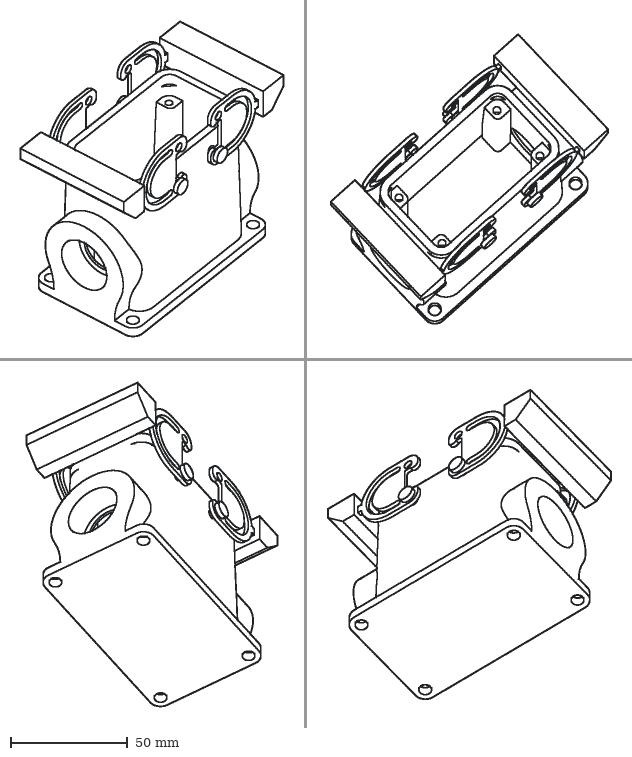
import cadquery as cq
import math

wall = 3.5
rim_length = 73.5
foot_length = 72.8
foot_width = 47.9
rim_width = 42.8
corner_radius = 7.8
rim_bottom = 68.5
rim_top = 73.9

base_width = 55.7
base_length = 92.4
base_height = 4.8
base_corner_radius = 5.2
lug_hole_radius = 2.7
lug_hole_x = 22.6
lug_hole_y = 41.0

entry_height = 27.0
boss_radius = 21.5
neck_half_width = 16.7
entry_radius = 12.4
entry_hole_radius = 9.6
entry_depth = 12.0

post_top = 61.9
post_inner_x = 9.9
post_inner_y = 25.4
post_corner_radius = 2.4
post_hole_x = 13.6
post_hole_y = 28.5
post_hole_radius = 1.6
post_hole_depth = 9.8

plate_outer_x = 25.7
plate_thickness = 1.9
lever_height = 74.5
lever_radius = 15.6
lever_center_y = 23.2
front_edge_y = 15.4
slot_outer_radius = 12.8
slot_inner_radius = 9.7
slot_end_y = 19.4
eye_y = 13.5
eye_rise = 10.6
eye_radius = 2.0
hook_front_y = 8.3
hook_tip_radius = 2.3
hook_tip_rise = 9.0
notch_rise = 7.6
notch_fillet = 1.1
tab_height = 4.0
handle_width = 57.0
handle_outer_y = 54.5
handle_inner_y = 40.4
handle_bottom_y = 46.5
handle_top = 82.6
handle_bevel_top = 76.6
handle_bottom = 68.3

pin_head_radius = 3.6
pin_head_outer_x = 27.8
pin_inner_x = rim_width / 2 - wall / 3

SIDES = (-1, 1)
CORNERS = [(sx, sy) for sx in SIDES for sy in SIDES]


def tapered_block(plane, foot_size, rim_size, inset, bottom):
    """Long block whose two sides lean from the foot size to the rim size, inset from those sizes."""
    share = (bottom - base_height) / (rim_bottom - base_height)
    bottom_half = (foot_size + share * (rim_size - foot_size)) / 2 - inset
    top_half = rim_size / 2 - inset
    section = [(-bottom_half, bottom), (bottom_half, bottom), (top_half, rim_bottom), (-top_half, rim_bottom)]
    return cq.Workplane(plane).polyline(section).close().extrude(base_length, both=True)


def tower(inset, bottom):
    """Tapered tower with its straight rim, drawn in from the outer walls by the inset."""
    across = tapered_block("XZ", foot_width, rim_width, inset, bottom)
    along = tapered_block("YZ", foot_length, rim_length, inset, bottom)
    radius = corner_radius - inset
    taper = across.intersect(along).edges("not(|X or |Y)").fillet(radius)
    rim = cq.Workplane("XY", origin=(0, 0, rim_bottom)).sketch()
    rim = rim.rect(rim_width - 2 * inset, rim_length - 2 * inset).vertices().fillet(radius).finalize()
    return taper.union(rim.extrude(rim_top - rim_bottom))


def cylinder_along_y(radius, y_start, y_end):
    disc = cq.Workplane("XZ", origin=(0, y_start, entry_height)).circle(radius)
    return disc.extrude(y_start - y_end)


def entry_bosses():
    """Round boss that flows through concave flanks into a narrower neck, along the full length."""
    drop = entry_height - base_height
    neck_radius = (neck_half_width ** 2 + drop ** 2 - boss_radius ** 2) / (2 * (boss_radius - neck_half_width))
    flank_x = neck_half_width + neck_radius
    joint_share = boss_radius / (boss_radius + neck_radius)
    joint_x = flank_x * joint_share
    joint_z = entry_height - drop * joint_share
    half_turn = math.atan2(joint_z - base_height, flank_x - joint_x) / 2
    middle_x = flank_x - neck_radius * math.cos(half_turn)
    middle_z = base_height + neck_radius * math.sin(half_turn)
    outline = (
        cq.Workplane("XZ")
        .moveTo(-neck_half_width, 0)
        .lineTo(neck_half_width, 0)
        .lineTo(neck_half_width, base_height)
        .threePointArc((middle_x, middle_z), (joint_x, joint_z))
        .threePointArc((0, entry_height + boss_radius), (-joint_x, joint_z))
        .threePointArc((-middle_x, middle_z), (-neck_half_width, base_height))
        .close()
    )
    return outline.extrude(base_length / 2, both=True)


def screw_posts():
    """Corner posts that reach from the floor up along the walls."""
    posts = cq.Workplane("XY")
    height = post_top - wall
    size_x = (rim_width - wall) / 2 - post_inner_x
    size_y = (rim_length - wall) / 2 - post_inner_y
    for sx, sy in CORNERS:
        post = (
            cq.Workplane("XY")
            .box(size_x, size_y, height, centered=False)
            .edges("|Z and <X and <Y")
            .fillet(post_corner_radius)
            .translate((post_inner_x, post_inner_y, wall))
        )
        if sx < 0:
            post = post.mirror("YZ")
        if sy < 0:
            post = post.mirror("XZ")
        posts = posts.union(post)
    return posts


def pivot_pin(sx, sy):
    """Headed pin that carries one lever plate on the side wall."""
    pivot = (0, sy * eye_y, lever_height - eye_rise)
    plane = cq.Workplane("YZ", origin=pivot)
    shank = plane.workplane(offset=sx * pin_inner_x).circle(eye_radius)
    shank = shank.extrude(sx * (plate_outer_x - pin_inner_x))
    head = plane.workplane(offset=sx * plate_outer_x).circle(pin_head_radius)
    return shank.union(head.extrude(sx * (pin_head_outer_x - plate_outer_x)))


def make_housing():
    base = cq.Workplane("XY").box(base_width, base_length, base_height, centered=(True, True, False))
    base = base.edges("|Z").fillet(base_corner_radius)
    body = base.union(tower(0, base_height)).union(entry_bosses())
    body = body.cut(tower(wall, wall))
    body = body.union(screw_posts().intersect(tower(wall / 2, wall / 2)))

    body = body.cut(cylinder_along_y(entry_hole_radius, -base_length / 2, base_length / 2))
    for sy in SIDES:
        outer_end = sy * base_length / 2
        body = body.cut(cylinder_along_y(entry_radius, outer_end, outer_end - sy * entry_depth))

    lug_points = [(sx * lug_hole_x, sy * lug_hole_y) for sx, sy in CORNERS]
    body = body.cut(cq.Workplane("XY").pushPoints(lug_points).circle(lug_hole_radius).extrude(base_height))

    post_points = [(sx * post_hole_x, sy * post_hole_y) for sx, sy in CORNERS]
    post_holes = cq.Workplane("XY", origin=(0, 0, post_top)).pushPoints(post_points)
    body = body.cut(post_holes.circle(post_hole_radius).extrude(-post_hole_depth))

    for sx, sy in CORNERS:
        body = body.union(pivot_pin(sx, sy))
    return body


def half_plate():
    """Upper half of a lever plate about its centre height, with the hook at its front end."""
    diagonal = math.sqrt(0.5)
    lobe_radius = lever_radius - eye_rise
    lobe_y = hook_front_y + lobe_radius
    tip_y = hook_front_y + hook_tip_radius
    tip_drop = hook_tip_rise - notch_rise
    notch_end_y = tip_y + math.sqrt(hook_tip_radius ** 2 - tip_drop ** 2)
    notch_corner_y = front_edge_y - notch_fillet
    corner_rise = notch_rise - notch_fillet
    return (
        cq.Workplane("YZ")
        .moveTo(front_edge_y, 0)
        .lineTo(front_edge_y, corner_rise)
        .threePointArc(
            (notch_corner_y + notch_fillet * diagonal, corner_rise + notch_fillet * diagonal),
            (notch_corner_y, notch_rise),
        )
        .lineTo(notch_end_y, notch_rise)
        .threePointArc((tip_y, hook_tip_rise - hook_tip_radius), (hook_front_y, hook_tip_rise))
        .lineTo(hook_front_y, eye_rise)
        .threePointArc(
            (lobe_y - lobe_radius * diagonal, eye_rise + lobe_radius * diagonal),
            (lobe_y, lever_radius),
        )
        .lineTo(lever_center_y, lever_radius)
        .threePointArc(
            (lever_center_y + lever_radius * diagonal, lever_radius * diagonal),
            (lever_center_y + lever_radius, 0),
        )
        .close()
        .extrude(plate_thickness)
    )


def spring_slot():
    """C-shaped slot with round ends."""
    end_radius = (slot_outer_radius - slot_inner_radius) / 2
    middle_radius = slot_outer_radius - end_radius
    return (
        cq.Workplane("YZ")
        .moveTo(slot_end_y, slot_outer_radius)
        .lineTo(lever_center_y, slot_outer_radius)
        .threePointArc((lever_center_y + slot_outer_radius, 0), (lever_center_y, -slot_outer_radius))
        .lineTo(slot_end_y, -slot_outer_radius)
        .threePointArc((slot_end_y - end_radius, -middle_radius), (slot_end_y, -slot_inner_radius))
        .lineTo(lever_center_y, -slot_inner_radius)
        .threePointArc((lever_center_y + slot_inner_radius, 0), (lever_center_y, slot_inner_radius))
        .lineTo(slot_end_y, slot_inner_radius)
        .threePointArc((slot_end_y - end_radius, middle_radius), (slot_end_y, slot_outer_radius))
        .close()
        .extrude(plate_thickness)
    )


def lever_plate():
    upper = half_plate()
    plate = upper.union(upper.mirror("XY")).cut(spring_slot())
    eyes = cq.Workplane("YZ").pushPoints([(eye_y, eye_rise), (eye_y, -eye_rise)])
    plate = plate.cut(eyes.circle(eye_radius).extrude(plate_thickness))
    tab_start_y = lever_center_y + (slot_outer_radius + lever_radius) / 2
    tab = cq.Workplane("XY").box(
        plate_thickness, handle_inner_y - tab_start_y, tab_height, centered=(False, False, True)
    )
    return plate.union(tab.translate((0, tab_start_y, 0)))


def make_lever(sy):
    """Handle bar with a plate at each side; sy picks the end of the housing."""
    handle = (
        cq.Workplane("YZ")
        .moveTo(handle_inner_y, handle_bottom)
        .lineTo(handle_bottom_y, handle_bottom)
        .lineTo(handle_outer_y, handle_bevel_top)
        .lineTo(handle_outer_y, handle_top)
        .lineTo(handle_inner_y, handle_top)
        .close()
        .extrude(handle_width / 2, both=True)
    )
    plate = lever_plate().translate((plate_outer_x - plate_thickness, 0, lever_height))
    lever = handle.union(plate).union(plate.mirror("YZ"))
    return lever if sy > 0 else lever.mirror("XZ")


housing = make_housing().union(make_lever(1))

lever = make_lever(-1)

result = cq.Compound.makeCompound([housing.val(), lever.val()])